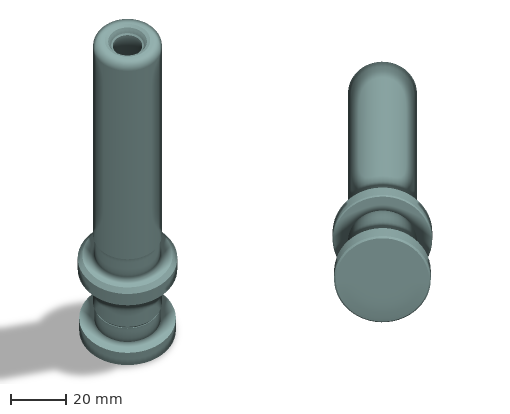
import cadquery as cq
import math

TOTAL_HEIGHT = 152.0

PILLAR_RADIUS = 12.5
NECK_RADIUS = 12.0
COLLAR_RADIUS = 18.01
UNDERCUT_RADIUS = 11.7

PILLAR_BOTTOM = 14.1
SPIGOT_TOP = 30.9
COLLAR_BOTTOM = 31.9
COLLAR_TOP = 40.0
NECK_TOP = 50.2

PILLAR_TOP_ROUND = 3.0
COLLAR_TOP_CHAMFER = 1.7
COLLAR_BOTTOM_CHAMFER = 0.5
NECK_BASE_ROUND = 1.0
NECK_STEP = PILLAR_RADIUS - NECK_RADIUS
SPIGOT_CHAMFER_WIDTH = PILLAR_RADIUS - UNDERCUT_RADIUS
SPIGOT_CHAMFER_HEIGHT = 1.2

MOUTH_RADIUS = 8.2
CONE_RADIUS = 7.0
BORE_RADIUS = 5.3
SEAT_RADIUS = 6.0
MOUTH_DEPTH = 0.6
CONE_DEPTH = 2.5
BORE_TOP_DEPTH = 2.9
BORE_DEPTH = 24.3
DRILL_POINT_ANGLE = 120.0

FLANGE_RADIUS = 17.5
FLANGE_HEIGHT = 7.0
FLANGE_CHAMFER = 0.6


def revolve_profile(profile):
    """Turn a closed radius/height profile about the Z axis."""
    return profile.close().revolve(360, (0, 0, 0), (0, 1, 0))


def make_centre_hole():
    """Stepped, blind centre hole that ends in a drill point."""
    bore_end = TOTAL_HEIGHT - BORE_DEPTH
    point_height = BORE_RADIUS / math.tan(math.radians(DRILL_POINT_ANGLE / 2))
    return revolve_profile(
        cq.Workplane("XZ")
        .moveTo(0, TOTAL_HEIGHT)
        .lineTo(MOUTH_RADIUS, TOTAL_HEIGHT)
        .lineTo(CONE_RADIUS, TOTAL_HEIGHT - MOUTH_DEPTH)
        .lineTo(SEAT_RADIUS, TOTAL_HEIGHT - CONE_DEPTH)
        .lineTo(BORE_RADIUS, TOTAL_HEIGHT - BORE_TOP_DEPTH)
        .lineTo(BORE_RADIUS, bore_end)
        .lineTo(0, bore_end - point_height)
    )


def make_pillar():
    """Guide pillar: spigot, collar, neck and long rounded shank."""
    body = revolve_profile(
        cq.Workplane("XZ")
        .moveTo(0, PILLAR_BOTTOM)
        .lineTo(PILLAR_RADIUS - SPIGOT_CHAMFER_WIDTH, PILLAR_BOTTOM)
        .lineTo(PILLAR_RADIUS, PILLAR_BOTTOM + SPIGOT_CHAMFER_HEIGHT)
        .lineTo(PILLAR_RADIUS, SPIGOT_TOP)
        .lineTo(UNDERCUT_RADIUS, COLLAR_BOTTOM)
        .lineTo(COLLAR_RADIUS - COLLAR_BOTTOM_CHAMFER, COLLAR_BOTTOM)
        .lineTo(COLLAR_RADIUS, COLLAR_BOTTOM + COLLAR_BOTTOM_CHAMFER)
        .lineTo(COLLAR_RADIUS, COLLAR_TOP - COLLAR_TOP_CHAMFER)
        .lineTo(COLLAR_RADIUS - COLLAR_TOP_CHAMFER, COLLAR_TOP)
        .lineTo(NECK_RADIUS + NECK_BASE_ROUND, COLLAR_TOP)
        .radiusArc((NECK_RADIUS, COLLAR_TOP + NECK_BASE_ROUND), NECK_BASE_ROUND)
        .lineTo(NECK_RADIUS, NECK_TOP)
        .lineTo(PILLAR_RADIUS, NECK_TOP + NECK_STEP)
        .lineTo(PILLAR_RADIUS, TOTAL_HEIGHT - PILLAR_TOP_ROUND)
        .radiusArc((PILLAR_RADIUS - PILLAR_TOP_ROUND, TOTAL_HEIGHT), -PILLAR_TOP_ROUND)
        .lineTo(0, TOTAL_HEIGHT)
    )
    return body.cut(make_centre_hole())


def make_foot():
    """Flanged foot whose hub bears against the bottom end of the pillar."""
    return revolve_profile(
        cq.Workplane("XZ")
        .moveTo(0, 0)
        .lineTo(FLANGE_RADIUS - FLANGE_CHAMFER, 0)
        .lineTo(FLANGE_RADIUS, FLANGE_CHAMFER)
        .lineTo(FLANGE_RADIUS, FLANGE_HEIGHT)
        .lineTo(NECK_RADIUS, FLANGE_HEIGHT)
        .lineTo(NECK_RADIUS, PILLAR_BOTTOM)
        .lineTo(0, PILLAR_BOTTOM)
    )


pillar = make_pillar()
foot = make_foot()

result = cq.Compound.makeCompound([pillar.val(), foot.val()])